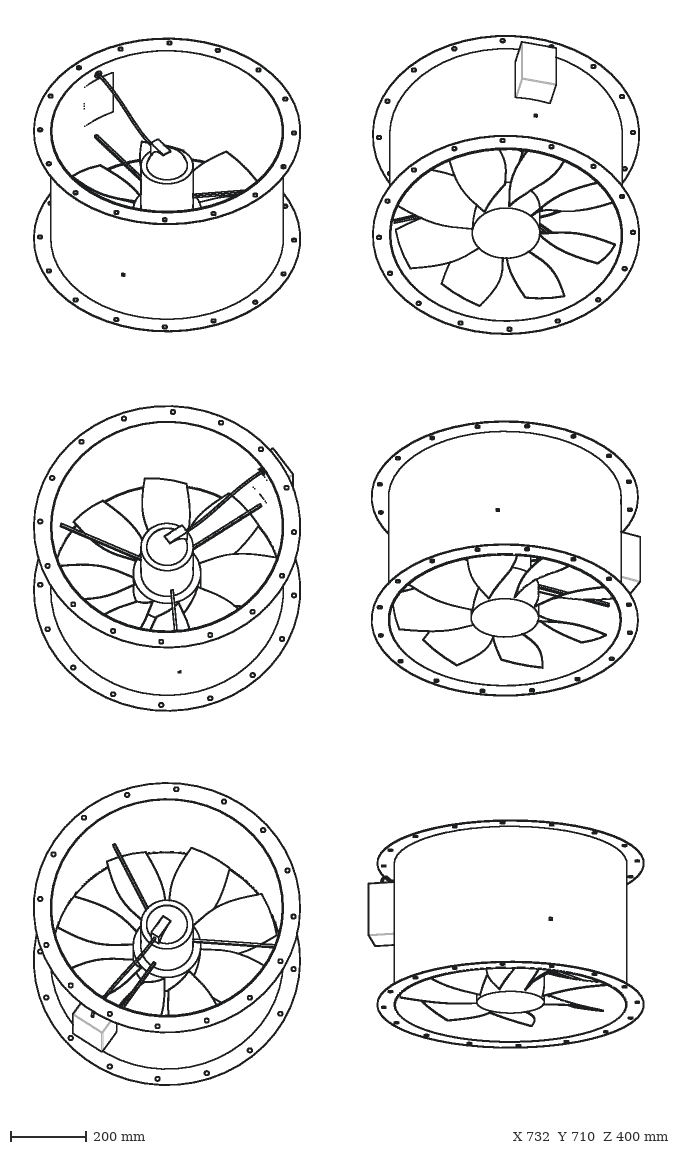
import cadquery as cq
import math


casing_height = 400.0
bore_radius = 307.5
casing_wall = 2.55
casing_radius = bore_radius + casing_wall
flange_radius = 355.0
flange_thickness = 2.0
bolt_count = 16
bolt_circle_radius = 338.0
bolt_hole_diameter = 12.0
bolt_start_angle = 7.5

motor_radius = 69.5
motor_top = 271.5
dome_base_radius = 54.0
dome_height = 45.5
strut_angles = (60, 180, 300)
strut_size = 6.5
strut_offset = 7.0
strut_height = 144.0
strut_embed = 7.0
strut_root_radius = motor_radius - strut_embed

blade_count = 8
blade_angle = 10.9
blade_tip_radius = 299.0
blade_thickness = 2.0
blade_mid_height = 59.0
blade_tip_rise = 18.0
blade_twist = 0.12
hub_radius = 90.0
hub_height = 102.5
hub_bottom = blade_mid_height - hub_height / 2

blade_stations = ((73.0, 23.0), (88.0, 31.0), (146.5, 54.0), (212.0, 64.0), (307.5, 53.5))

terminal_outer_x = flange_radius - 732.0
terminal_inner_x = -305.0
terminal_width = 95.0
terminal_height = 146.5
terminal_edge_radius = 2.0
terminal_top = 351.0
connection_length = 57.0
connection_width = 25.0
connection_height = 47.0
cable_diameter = 6.0
cable_start_x = -350.5
cable_entry_height = 369.0
cable_end_height = 296.0
cable_hole_diameter = 20.0
cable_hole_margin = 7.0
cable_embed = 4.0

cable_bends = [
    (-349.0, 370.5),
    (-340.5, 382.0),
    (-325.0, 370.5),
    (-casing_radius, cable_entry_height),
    (-266.5, 364.5),
    (-192.0, 337.0),
    (-113.5, 301.5),
]


def cylinder(radius, bottom, height):
    return cq.Workplane("XY").workplane(offset=bottom).circle(radius).extrude(height)


def make_casing():
    casing = cylinder(casing_radius, 0, casing_height)
    for bottom in (0, casing_height - flange_thickness):
        casing = casing.union(cylinder(flange_radius, bottom, flange_thickness))
    bolt_holes = (
        cq.Workplane("XY")
        .polarArray(bolt_circle_radius, bolt_start_angle, 360, bolt_count)
        .circle(bolt_hole_diameter / 2)
        .extrude(casing_height)
    )
    return casing.cut(bolt_holes).union(make_terminal_box()).cut(cylinder(bore_radius, 0, casing_height))


def make_terminal_box():
    """Box with rounded edges, except around the side that meets the casing."""
    box = cq.Workplane("XY").box(
        terminal_inner_x - terminal_outer_x, terminal_width, terminal_height, centered=(False, True, False)
    ).translate((terminal_outer_x, 0, terminal_top - terminal_height))
    return box.edges("not >X").fillet(terminal_edge_radius)


def make_cable_hole():
    return (
        cq.Workplane("YZ")
        .workplane(offset=-casing_radius - cable_hole_margin)
        .center(0, cable_entry_height)
        .circle(cable_hole_diameter / 2)
        .extrude(casing_wall + 2 * cable_hole_margin)
    )


def make_motor():
    profile = (
        cq.Workplane("XZ")
        .moveTo(0, hub_bottom)
        .lineTo(motor_radius, hub_bottom)
        .lineTo(motor_radius, motor_top)
        .lineTo(dome_base_radius, motor_top)
    )
    sphere_radius = (dome_base_radius**2 + dome_height**2) / (2 * dome_height)
    sphere_center = motor_top + dome_height - sphere_radius
    middle = (sphere_radius * math.sin(math.pi / 4), sphere_center + sphere_radius * math.cos(math.pi / 4))
    motor = profile.threePointArc(middle, (0, motor_top + dome_height)).close().revolve()
    connection_box = cq.Workplane("XY").box(
        connection_length, connection_width, connection_height, centered=(False, True, False)
    ).translate((-connection_length, 0, motor_top))
    return motor.union(connection_box)


def make_strut(angle):
    return (
        cq.Workplane("YZ")
        .workplane(offset=strut_root_radius)
        .center(strut_offset, strut_height)
        .rect(strut_size, strut_size)
        .extrude(casing_radius - strut_root_radius)
        .rotate((0, 0, 0), (0, 0, 1), angle)
    )


def make_blade():
    """Twisted blade along +X, its +Y edge the higher one, trimmed to a round tip."""
    sections = cq.Workplane("YZ")
    previous = 0
    for distance, half_width in blade_stations:
        half_rise = blade_tip_rise + blade_twist * (blade_tip_radius - distance)
        pitch = math.degrees(math.atan2(half_rise, half_width))
        chord = 2 * math.hypot(half_rise, half_width)
        sections = sections.workplane(offset=distance - previous)
        sections = sections.transformed(rotate=(0, 0, pitch)).rect(chord, blade_thickness)
        sections = sections.transformed(rotate=(0, 0, -pitch))
        previous = distance
    blade = sections.loft().translate((0, 0, blade_mid_height))
    return blade.intersect(cylinder(blade_tip_radius, 0, casing_height))


def make_rotor():
    rotor = cylinder(hub_radius, hub_bottom, hub_height)
    blade = make_blade()
    for i in range(blade_count):
        rotor = rotor.union(blade.rotate((0, 0, 0), (0, 0, 1), blade_angle + i * 360 / blade_count))
    return rotor


def make_cable():
    """Cable in the XZ plane: up from the terminal box, over, through the casing, down to the motor."""
    start = (cable_start_x, terminal_top - cable_embed)
    end = (-connection_length + cable_embed, cable_end_height)
    path = cq.Workplane("XZ").spline([start] + cable_bends + [end])
    return cq.Workplane("XY", origin=(start[0], 0, start[1])).circle(cable_diameter / 2).sweep(path)


result = make_casing().cut(make_cable_hole())
result = result.union(make_rotor()).union(make_motor())
for strut_angle in strut_angles:
    result = result.union(make_strut(strut_angle))
result = result.union(make_cable())